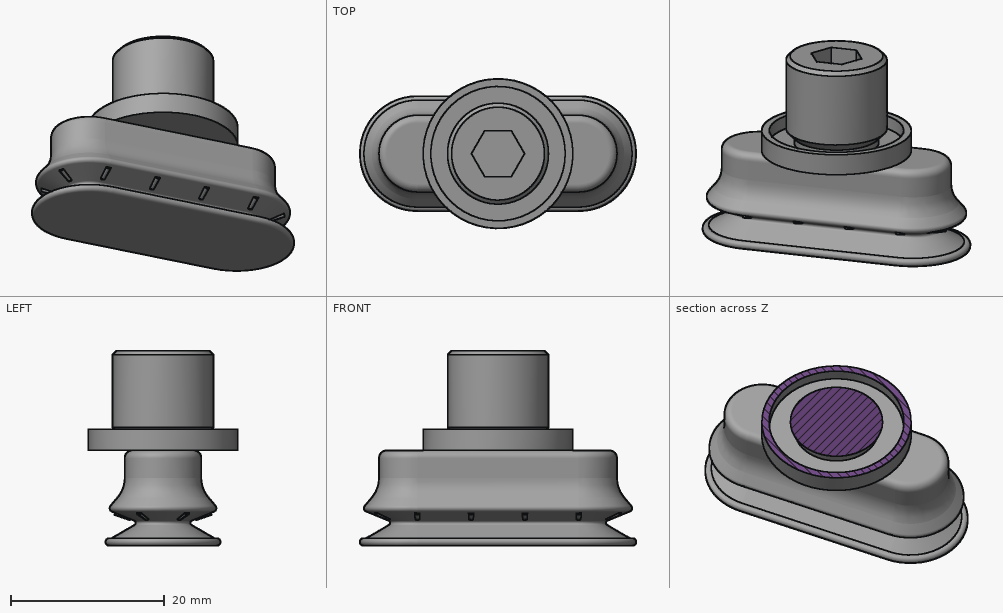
import cadquery as cq
import math

CUP_HEIGHT = 12.42
END_SPACING = 21.0
LIP_RADIUS = 7.5
LIP_HEIGHT = 1.0
LIP_ROUND = LIP_HEIGHT / 2
LIP_SHELF_RADIUS = 6.68
NECK_CORNER = (3.19, 3.02)
NECK_ROUND = 0.3
FOLD_CORNER = (7.28, 4.70)
FOLD_ROUND = 0.48
BODY_RADIUS = 5.0
BODY_FOOT = 7.38
BODY_FOOT_ROUND = 3.9
BODY_TOP_ROUND = 1.0

RIB_RADIUS = 0.35
RIB_INNER = 4.2
RIB_OUTER = 6.2
RIB_INNER_HEIGHT = 3.65
RIB_TILT = 19.0
RIB_PITCH = 7.0
RIBS_PER_SIDE = 4
END_RIB_ANGLE = 30.0

DISH_DIAMETER = 19.5
DISH_HEIGHT = 2.75
DISH_RECESS_DIAMETER = 17.5
DISH_FLOOR = 1.0

STUD_DIAMETER = 13.16
STUD_NECK_DIAMETER = 11.0
STUD_LENGTH = 10.0
STUD_TOP_CHAMFER = 0.53
TOTAL_HEIGHT = 25.42
SOCKET_ACROSS_FLATS = 6.0
SOCKET_DEPTH = 6.0

DISH_BASE = CUP_HEIGHT
STUD_BASE = DISH_BASE + DISH_FLOOR


def round_corner(before, corner, after, radius):
    """Start, middle and end of the arc that rounds a corner of an outline."""
    corner = cq.Vector(*corner)
    to_before = (cq.Vector(*before) - corner).normalized()
    to_after = (cq.Vector(*after) - corner).normalized()
    half_angle = to_before.getAngle(to_after) / 2
    tangent = radius / math.tan(half_angle)
    to_middle = radius / math.sin(half_angle) - radius
    start = corner + to_before * tangent
    middle = corner + (to_before + to_after).normalized() * to_middle
    end = corner + to_after * tangent
    return [point.toTuple()[:2] for point in (start, middle, end)]


def cup_outline(plane, origin):
    """Half section of the cup, drawn from the end axis outwards."""
    lip_flat = LIP_RADIUS - LIP_ROUND
    outline = (
        cq.Workplane(plane, origin=origin)
        .lineTo(lip_flat, 0)
        .threePointArc((LIP_RADIUS, LIP_ROUND), (lip_flat, LIP_HEIGHT))
        .lineTo(LIP_SHELF_RADIUS, LIP_HEIGHT)
    )
    corners = [
        (LIP_SHELF_RADIUS, LIP_HEIGHT),
        NECK_CORNER,
        FOLD_CORNER,
        (BODY_RADIUS, BODY_FOOT),
        (BODY_RADIUS, CUP_HEIGHT),
        (0, CUP_HEIGHT),
    ]
    radii = [NECK_ROUND, FOLD_ROUND, BODY_FOOT_ROUND, BODY_TOP_ROUND]
    for before, corner, after, radius in zip(corners, corners[1:], corners[2:], radii):
        start, middle, end = round_corner(before, corner, after, radius)
        outline = outline.lineTo(*start).threePointArc(middle, end)
    return outline.lineTo(0, CUP_HEIGHT).close()


def rib(start_x, direction):
    """One stop rib, radiating from the cup's long axis at start_x; direction is in degrees from +X."""
    angle = math.radians(direction)
    tilt = math.radians(RIB_TILT)
    outward = cq.Vector(math.cos(angle), math.sin(angle), 0)
    start = cq.Vector(start_x, 0, RIB_INNER_HEIGHT) + outward * RIB_INNER
    axis = outward + cq.Vector(0, 0, math.tan(tilt))
    length = (RIB_OUTER - RIB_INNER) / math.cos(tilt)
    return cq.Solid.makeCylinder(RIB_RADIUS, length, start, axis)


def make_cup():
    half_spacing = END_SPACING / 2
    cup = cup_outline("YZ", (-half_spacing, 0, 0)).extrude(END_SPACING)
    cup = cup.union(cup.mirror("XZ"))
    for end_x in (-half_spacing, half_spacing):
        cup = cup.union(cup_outline("XZ", (end_x, 0, 0)).revolve(360, (0, 0), (0, 1)))

    for index in range(RIBS_PER_SIDE):
        rib_x = (index - (RIBS_PER_SIDE - 1) / 2) * RIB_PITCH
        for direction in (-90, 90):
            cup = cup.union(rib(rib_x, direction))
    for angle in (-END_RIB_ANGLE, END_RIB_ANGLE):
        cup = cup.union(rib(half_spacing, angle))
        cup = cup.union(rib(-half_spacing, 180 + angle))
    return cup


def make_dish():
    dish = cq.Workplane("XY", origin=(0, 0, DISH_BASE)).circle(DISH_DIAMETER / 2).extrude(DISH_HEIGHT)
    recess_depth = DISH_HEIGHT - DISH_FLOOR
    return dish.faces(">Z").workplane().circle(DISH_RECESS_DIAMETER / 2).cutBlind(-recess_depth)


def make_stud():
    radius = STUD_DIAMETER / 2
    neck_radius = STUD_NECK_DIAMETER / 2
    shoulder = TOTAL_HEIGHT - STUD_LENGTH
    neck_top = shoulder - (radius - neck_radius)
    half_section = [
        (0, STUD_BASE),
        (neck_radius, STUD_BASE),
        (neck_radius, neck_top),
        (radius, shoulder),
        (radius, TOTAL_HEIGHT - STUD_TOP_CHAMFER),
        (radius - STUD_TOP_CHAMFER, TOTAL_HEIGHT),
        (0, TOTAL_HEIGHT),
    ]
    stud = cq.Workplane("XZ").polyline(half_section).close().revolve(360, (0, 0), (0, 1))
    across_corners = SOCKET_ACROSS_FLATS / math.cos(math.radians(30))
    return stud.faces(">Z").workplane().polygon(6, across_corners).cutBlind(-SOCKET_DEPTH)


cup = make_cup()
dish = make_dish()
stud = make_stud()

result = cq.Compound.makeCompound([cup.val(), dish.val(), stud.val()])